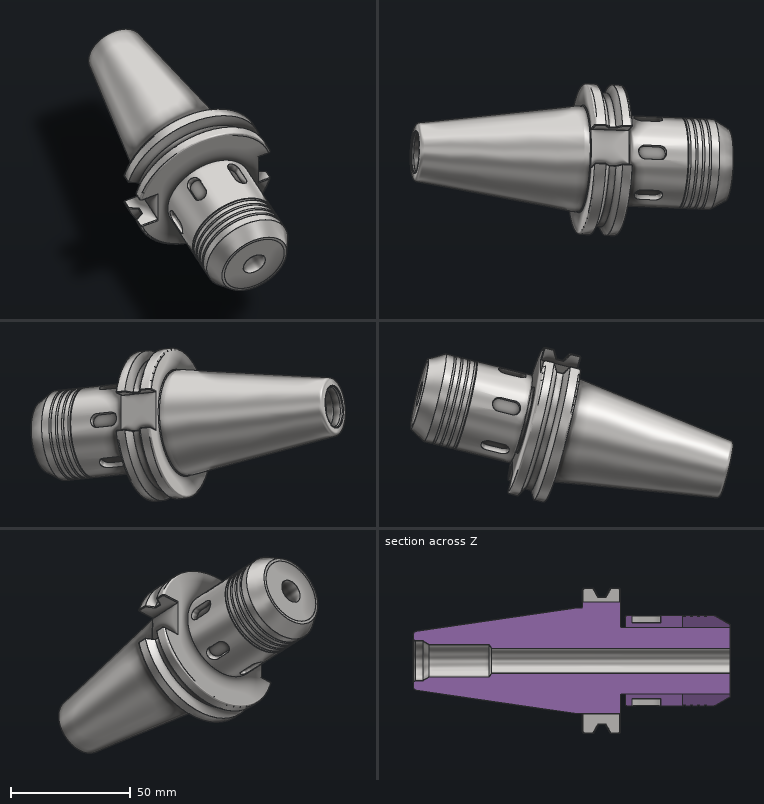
import cadquery as cq
import math


total_length = 133.2
taper_end = 68.4
flange_start = 71.0
flange_width = 16.1
flange_end = flange_start + flange_width
sleeve_start = 89.0
ring_start = 113.1

gauge_diameter = 44.5
taper_ratio = 7 / 24
taper_tip_radius = (gauge_diameter - taper_ratio * taper_end) / 2
tip_fillet = 1.7

flange_radius = 63.4 / 2
flange_fillet = 0.9
root_relief = 0.4
groove_center = 79.3
groove_mouth_half = 7.0 / 2
groove_step_half = 3.6 / 2
groove_floor_half = 2.8 / 2
groove_step_radius = 28.8
groove_floor_radius = 28.1
drive_slot_width = 16.1
front_slot_floor = 22.3
back_slot_floor = 24.8
drive_slot_chamfer = 0.4

neck_radius = 28.0 / 2

mouth_radius = 18.1 / 2
mouth_step_radius = 17.3 / 2
pilot_radius = 16.7 / 2
thread_cone_radius = 15.9 / 2
thread_radius = 13.5 / 2
coolant_radius = 10.3 / 2
mouth_step_depth = 0.33
mouth_depth = 1.0
pilot_depth = 4.3
thread_cone_start = pilot_depth + pilot_radius - thread_cone_radius
thread_cone_angle = 30
thread_cone_length = (thread_cone_radius - thread_radius) / math.tan(math.radians(thread_cone_angle))
thread_start = thread_cone_start + thread_cone_length
thread_end = 32.0
drill_point_angle = 118
drill_point_length = (thread_radius - coolant_radius) / math.tan(math.radians(drill_point_angle / 2))

nut_radius = 38.1 / 2
sleeve_fillet = 0.9
wrench_slot_count = 6
first_wrench_slot_angle = 90
wrench_slot_length = 12.0
wrench_slot_width = 6.0
wrench_slot_center = 98.0
wrench_slot_floor = 16.0
nose_cone_start = 126.6
nose_cone_angle = 30
nose_cone_length = total_length - nose_cone_start
nose_cone_drop = nose_cone_length * math.tan(math.radians(nose_cone_angle))
ring_groove_count = 4
ring_groove_pitch = 2.9
ring_groove_first = 113.9
ring_groove_width = 0.9
ring_groove_depth = 0.4


def revolve_about_x(profile):
    """Turn a closed profile of (axial position, radius) points about the X axis."""
    return profile.close().revolve(360, (0, 0, 0), (1, 0, 0))


def make_shank_and_flange():
    points = [
        (0, 0),
        (0, taper_tip_radius),
        (taper_end, gauge_diameter / 2),
        (flange_start - root_relief, gauge_diameter / 2),
        (flange_start, gauge_diameter / 2 + root_relief),
        (flange_start, flange_radius),
        (groove_center - groove_mouth_half, flange_radius),
        (groove_center - groove_step_half, groove_step_radius),
        (groove_center - groove_floor_half, groove_floor_radius),
        (groove_center + groove_floor_half, groove_floor_radius),
        (groove_center + groove_step_half, groove_step_radius),
        (groove_center + groove_mouth_half, flange_radius),
        (flange_end, flange_radius),
        (flange_end, neck_radius + root_relief),
        (flange_end + root_relief, neck_radius),
        (total_length, neck_radius),
        (total_length, 0),
    ]
    body = revolve_about_x(cq.Workplane("XY").polyline(points))
    body = body.faces("<X").edges().fillet(tip_fillet)
    largest_radius = cq.selectors.RadiusNthSelector(-1)
    flange_rims = body.edges("%CIRCLE").edges(largest_radius).edges("<X or >X")
    return body.newObject(flange_rims.vals()).fillet(flange_fillet)


def make_drive_slot(side, floor_distance):
    """Slot cutter on the +Y (side = 1) or -Y (side = -1) edge of the flange."""
    depth = flange_radius - floor_distance
    center_y = side * (floor_distance + depth / 2)
    return cq.Workplane("XY").box(flange_width, depth, drive_slot_width).translate(
        (flange_start + flange_width / 2, center_y, 0)
    )


def make_drawbar_bore():
    points = [
        (0, 0),
        (0, mouth_radius),
        (mouth_step_depth, mouth_step_radius),
        (mouth_depth, pilot_radius),
        (pilot_depth, pilot_radius),
        (thread_cone_start, thread_cone_radius),
        (thread_start, thread_radius),
        (thread_end, thread_radius),
        (thread_end + drill_point_length, coolant_radius),
        (total_length, coolant_radius),
        (total_length, 0),
    ]
    return revolve_about_x(cq.Workplane("XY").polyline(points))


def chamfer_drive_slot(body, side, floor_distance):
    """Break the edges of both slot walls, leaving the corners at the slot floor sharp."""
    clearance = 0.1
    walls = cq.Workplane("XY")
    for wall in (-1, 1):
        wall_z = wall * drive_slot_width / 2
        edge_zone = cq.selectors.BoxSelector(
            (flange_start - clearance, side * (floor_distance + clearance), wall_z - clearance),
            (flange_end + clearance, side * (flange_radius + clearance), wall_z + clearance),
        )
        walls = walls.add(body.edges(edge_zone))
    return body.newObject(walls.vals()).chamfer(drive_slot_chamfer)


def make_holder():
    body = make_shank_and_flange()
    for side, floor_distance in ((-1, front_slot_floor), (1, back_slot_floor)):
        body = body.cut(make_drive_slot(side, floor_distance))
        body = chamfer_drive_slot(body, side, floor_distance)
    return body.cut(make_drawbar_bore())


def make_tube(start, end):
    """Tube that fits over the neck, from one axial station to another."""
    return (
        cq.Workplane("YZ", origin=(start, 0, 0))
        .circle(nut_radius)
        .extrude(end - start)
    )


def cut_neck_hole(body):
    hole = cq.Workplane("YZ").circle(neck_radius).extrude(total_length)
    return body.cut(hole)


def make_wrench_slot(angle):
    cutter = (
        cq.Workplane("XY", origin=(wrench_slot_center, 0, wrench_slot_floor))
        .slot2D(wrench_slot_length, wrench_slot_width)
        .extrude(nut_radius)
    )
    return cutter.rotate((0, 0, 0), (1, 0, 0), angle)


def make_sleeve():
    body = make_tube(sleeve_start, ring_start).faces("<X").edges().fillet(sleeve_fillet)
    for i in range(wrench_slot_count):
        body = body.cut(make_wrench_slot(first_wrench_slot_angle + i * 360 / wrench_slot_count))
    return cut_neck_hole(body)


def make_ring_groove(center):
    """Shallow round-bottomed groove around the nose ring."""
    half = ring_groove_width / 2
    profile = (
        cq.Workplane("XY")
        .moveTo(center - half, nut_radius)
        .threePointArc((center, nut_radius - ring_groove_depth), (center + half, nut_radius))
        .lineTo(center + half, nut_radius + half)
        .lineTo(center - half, nut_radius + half)
    )
    return revolve_about_x(profile)


def make_nose_ring():
    body = make_tube(ring_start, total_length)
    body = body.faces(">X").chamfer(nose_cone_length, nose_cone_drop)
    for i in range(ring_groove_count):
        body = body.cut(make_ring_groove(ring_groove_first + i * ring_groove_pitch))
    return cut_neck_hole(body)


holder = make_holder()
sleeve = make_sleeve()
nose_ring = make_nose_ring()

result = cq.Compound.makeCompound([holder.val(), sleeve.val(), nose_ring.val()])